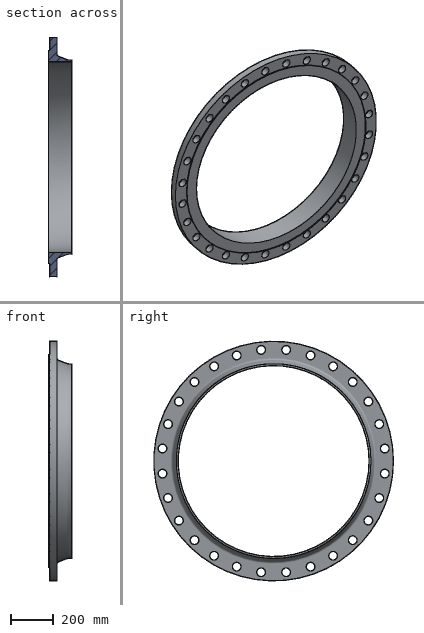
import cadquery as cq

flange_diameter = 1125.0
raised_face_diameter = 1001.0
raised_face_height = 5.0
flange_back = 40.0
overall_length = 110.0

pipe_diameter = 914.0
bore_diameter = 894.0
weld_end_length = 19.0
hub_diameter = 952.0
root_fillet = 10.0
neck_fillet = 18.0

bolt_count = 28
bolt_hole_diameter = 39.0
bolt_circle_diameter = 1050.0

cone_end = overall_length - weld_end_length


def on_circle(x, diameter):
    """Selector for the circular edge of a given diameter at position x."""
    radius = diameter / 2
    margin = 1.0
    return cq.selectors.BoxSelector(
        (x - margin, -radius - margin, -radius - margin),
        (x + margin, radius + margin, radius + margin),
        boundingbox=True,
    )


def turned_body():
    """Revolve the half section: raised face, disc, tapered hub and pipe stub."""
    profile = [
        (0, bore_diameter / 2),
        (0, raised_face_diameter / 2),
        (raised_face_height, raised_face_diameter / 2),
        (raised_face_height, flange_diameter / 2),
        (flange_back, flange_diameter / 2),
        (flange_back, hub_diameter / 2),
        (cone_end, pipe_diameter / 2),
        (overall_length, pipe_diameter / 2),
        (overall_length, bore_diameter / 2),
    ]
    body = cq.Workplane("XY").polyline(profile).close().revolve(360, (0, 0, 0), (1, 0, 0))
    body = body.edges(on_circle(flange_back, hub_diameter)).fillet(root_fillet)
    return body.edges(on_circle(cone_end, pipe_diameter)).fillet(neck_fillet)


def bolt_holes():
    """Through holes on the bolt circle, straddling the Y and Z axes."""
    half_pitch = 360 / bolt_count / 2
    return (
        cq.Workplane("YZ")
        .polarArray(bolt_circle_diameter / 2, half_pitch, 360, bolt_count)
        .circle(bolt_hole_diameter / 2)
        .extrude(flange_back)
    )


result = turned_body().cut(bolt_holes())